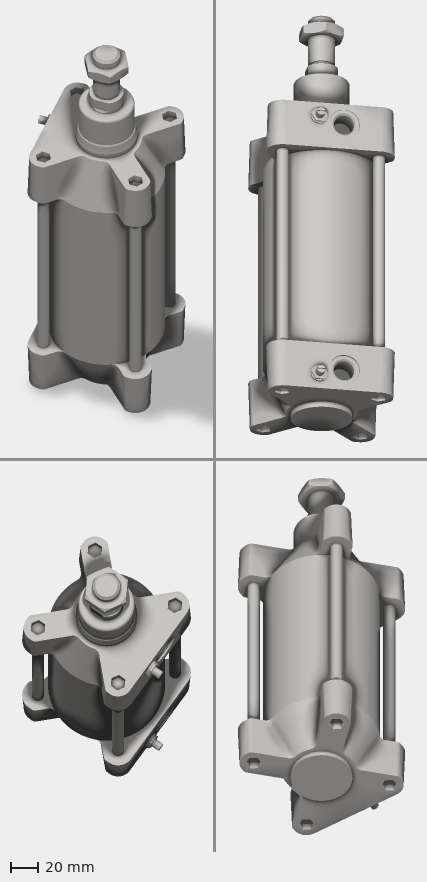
import cadquery as cq
import math

rear_boss_height = 4.0
cap_height = 36.0
tube_length = 155.8
rear_cap_outer = rear_boss_height
rear_cap_inner = rear_cap_outer + cap_height
front_cap_inner = rear_cap_inner + tube_length
front_cap_outer = front_cap_inner + cap_height
sleeve_top = 267.5
rod_shoulder = 278.2
thread_bottom = 281.5
rod_top = 318.0

cap_width = 95.0
cap_half_width = cap_width / 2
cap_draft = 1.8
bolt_offset = 36.0
corner_radius = cap_half_width - bolt_offset
notch_vertex = 16.0
lobe_fillet = 4.0
root_fillet = 5.0
cone_outer_radius = 26.0
tube_diameter = 86.0
socket_flats = 10.2
socket_depth = 6.5

tie_rod_diameter = 9.0

port_y = -8.3
port_inset = 16.0
port_diameter = 15.0
port_chamfer = 1.3
port_depth = 16.0
port_spot_diameter = 23.0
port_spot_depth = 1.5
screw_y = 10.8
screw_inset = 11.0
screw_root_x = -44.2
overall_width_x = 104.0
screw_tip_x = cap_half_width - overall_width_x
screw_diameter = 6.0
screw_hex_x = -50.0
screw_hex_flats = 10.0
screw_flange_x = -48.3
screw_flange_diameter = 12.0
screw_slot_width = 1.0
screw_slot_depth = 1.3

boss_diameter = 45.0
collar_height = 4.0
shoulder_base_diameter = 44.2
shoulder_base_rise = 1.5
shoulder_top_diameter = 42.5
shoulder_top = 242.3
sleeve_diameter = 41.0
sleeve_foot_rise = 1.0
sleeve_fillet = 2.0

rod_diameter = 25.0
rod_flats = 22.3
rod_flats_bottom = 269.7
neck_diameter = 18.0
thread_diameter = 20.0
thread_chamfer = 2.0

nut_bottom = 301.8
nut_height = 8.5
nut_flats = 30.0
nut_chamfer_angle = 30.0


def cylinder(diameter, bottom, top):
    """Upright cylinder on the Z axis between two levels."""
    return cq.Workplane("XY").workplane(offset=bottom).circle(diameter / 2).extrude(top - bottom)


def hexagon_corners(flats):
    """Corner-to-corner size of a hexagon with the given width across flats."""
    return flats / math.cos(math.radians(30))


def bolt_points():
    """Places of the four tie rods."""
    return [(sx * bolt_offset, sy * bolt_offset) for sx in (-1, 1) for sy in (-1, 1)]


def cap_outline():
    """Cap outline at the inner face: flat on -X, V notches on +X, +Y and -Y."""
    w = cap_half_width
    b = bolt_offset
    lobe_edge = w - notch_vertex
    arc_middle = b + corner_radius * math.sqrt(0.5)
    return (
        cq.Workplane("XY")
        .moveTo(-w, -b)
        .threePointArc((-arc_middle, -arc_middle), (-b, -w))
        .lineTo(-lobe_edge, -w)
        .lineTo(0, -notch_vertex)
        .lineTo(lobe_edge, -w)
        .lineTo(b, -w)
        .threePointArc((arc_middle, -arc_middle), (w, -b))
        .lineTo(w, -lobe_edge)
        .lineTo(notch_vertex, 0)
        .lineTo(w, lobe_edge)
        .lineTo(w, b)
        .threePointArc((arc_middle, arc_middle), (b, w))
        .lineTo(lobe_edge, w)
        .lineTo(0, notch_vertex)
        .lineTo(-lobe_edge, w)
        .lineTo(-b, w)
        .threePointArc((-arc_middle, arc_middle), (-w, b))
        .close()
    )


def minus_x_plane(x, y, z):
    """Plane facing -X at the given point."""
    return cq.Workplane(cq.Plane(origin=(x, y, z), xDir=(0, -1, 0), normal=(-1, 0, 0)))


def round_notch_edges(cap, reach, spread, radius):
    """Round the notch edges whose middles lie 'reach' outward and 'spread' sideways on each notch."""
    middle = cap_height / 2
    edges = []
    for s in (-1, 1):
        for x, y in ((s * spread, reach), (s * spread, -reach), (reach, s * spread)):
            edges += cap.edges(cq.NearestToPointSelector((x, y, middle))).vals()
    return cap.newObject(edges).fillet(radius)


def make_cap():
    """End cap with its inner face on Z = 0 and its outer face on Z = cap_height."""
    lobe_edge = cap_half_width - notch_vertex
    cap = cap_outline().extrude(cap_height, taper=cap_draft)
    cap = round_notch_edges(cap, cap_half_width, lobe_edge, lobe_fillet)

    cone = cq.Solid.makeCone(tube_diameter / 2, cone_outer_radius, cap_height)
    cap = cap.union(cq.Workplane(cone))
    mean_radius = (tube_diameter / 2 + cone_outer_radius) / 2
    wall_x = (math.sqrt(2 * mean_radius ** 2 - notch_vertex ** 2) - notch_vertex) / 2
    cap = round_notch_edges(cap, wall_x + notch_vertex, wall_x, root_fillet)

    sockets = (
        cq.Workplane("XY").workplane(offset=cap_height - socket_depth)
        .pushPoints(bolt_points())
        .polygon(6, hexagon_corners(socket_flats))
        .extrude(socket_depth)
    )
    return cap.cut(sockets)


def port_cut(z):
    """Port with a shallow spot face and a chamfered mouth, cut into the -X face."""
    spot_floor = port_spot_depth - cap_half_width
    spot = minus_x_plane(spot_floor, port_y, z).circle(port_spot_diameter / 2).extrude(port_spot_depth)
    hole = minus_x_plane(spot_floor, port_y, z).circle(port_diameter / 2).extrude(-port_depth)
    mouth = cq.Workplane(cq.Solid.makeCone(
        port_diameter / 2 + port_chamfer, port_diameter / 2, port_chamfer,
        pnt=cq.Vector(spot_floor, port_y, z), dir=cq.Vector(1, 0, 0),
    ))
    return spot.union(hole).union(mouth)


def cushion_screw(z):
    """Slotted screw with a hexagon and a round flange standing out of the -X face."""
    flange = (
        minus_x_plane(screw_root_x, screw_y, z)
        .circle(screw_flange_diameter / 2)
        .extrude(screw_root_x - screw_flange_x)
    )
    hexagon = (
        minus_x_plane(screw_flange_x, screw_y, z)
        .polygon(6, hexagon_corners(screw_hex_flats))
        .extrude(screw_flange_x - screw_hex_x)
    )
    stem = (
        minus_x_plane(screw_root_x, screw_y, z)
        .circle(screw_diameter / 2)
        .extrude(screw_root_x - screw_tip_x)
    )
    slot = (
        minus_x_plane(screw_tip_x, screw_y, z)
        .rect(screw_diameter, screw_slot_width)
        .extrude(-screw_slot_depth)
    )
    return flange.union(hexagon).union(stem).cut(slot)


def front_sleeve():
    """Collar, tapered shoulder and guide sleeve on the front cap, turned in one piece."""
    collar_top = front_cap_outer + collar_height
    sleeve_radius = sleeve_diameter / 2
    return (
        cq.Workplane("XZ")
        .moveTo(0, front_cap_outer)
        .lineTo(boss_diameter / 2, front_cap_outer)
        .lineTo(boss_diameter / 2, collar_top)
        .lineTo(shoulder_base_diameter / 2, collar_top + shoulder_base_rise)
        .lineTo(shoulder_top_diameter / 2, shoulder_top)
        .lineTo(sleeve_radius, shoulder_top + sleeve_foot_rise)
        .lineTo(sleeve_radius, sleeve_top)
        .lineTo(0, sleeve_top)
        .close()
        .revolve(360, (0, 0), (0, 1))
        .faces(">Z").edges().fillet(sleeve_fillet)
    )


def make_housing():
    """Both caps, tube, tie rods, ports, screws, rear boss and front sleeve."""
    front_cap = make_cap().translate((0, 0, front_cap_inner))
    rear_cap = make_cap().mirror("XY").translate((0, 0, rear_cap_inner))
    housing = cylinder(tube_diameter, rear_cap_inner, front_cap_inner).union(front_cap).union(rear_cap)

    tie_rods = (
        cq.Workplane("XY").workplane(offset=rear_cap_inner)
        .pushPoints(bolt_points())
        .circle(tie_rod_diameter / 2)
        .extrude(tube_length)
    )
    housing = housing.union(tie_rods)

    for outer_face, inward in ((front_cap_outer, -1), (rear_cap_outer, 1)):
        housing = housing.cut(port_cut(outer_face + inward * port_inset))
        housing = housing.union(cushion_screw(outer_face + inward * screw_inset))

    housing = housing.union(cylinder(boss_diameter, 0, rear_cap_outer)).union(front_sleeve())
    return housing.cut(cylinder(rod_diameter, front_cap_inner, sleeve_top))


def flat_cut(side):
    """Material cut away for the wrench flat on the +Y (side 1) or -Y (side -1) of the rod shoulder."""
    flat_y = rod_flats / 2
    rim_y = rod_diameter / 2
    return (
        cq.Workplane("YZ")
        .moveTo(side * flat_y, rod_flats_bottom)
        .lineTo(side * flat_y, rod_shoulder)
        .lineTo(side * rim_y, rod_shoulder)
        .lineTo(side * rim_y, rod_flats_bottom - (rim_y - flat_y))
        .close()
        .extrude(rod_diameter / 2, both=True)
    )


def make_piston_rod():
    """Stepped rod with wrench flats on its shoulder and a threaded end."""
    shoulder = cylinder(rod_diameter, front_cap_inner, rod_shoulder)
    for side in (-1, 1):
        shoulder = shoulder.cut(flat_cut(side))
    neck = cylinder(neck_diameter, rod_shoulder, thread_bottom)
    thread = cylinder(thread_diameter, thread_bottom, rod_top).faces(">Z").chamfer(thread_chamfer)
    return shoulder.union(neck).union(thread)


def make_nut():
    """Hexagonal nut on the rod end, its corners chamfered above and below."""
    corners = hexagon_corners(nut_flats)
    nut = cq.Workplane("XY").polygon(6, corners).extrude(nut_height)

    flat_radius = nut_flats / 2
    corner_radius_limit = corners / 2
    drop = (corner_radius_limit - flat_radius) * math.tan(math.radians(nut_chamfer_angle))
    envelope = (
        cq.Workplane("XZ")
        .moveTo(0, 0)
        .lineTo(flat_radius, 0)
        .lineTo(corner_radius_limit, drop)
        .lineTo(corner_radius_limit, nut_height - drop)
        .lineTo(flat_radius, nut_height)
        .lineTo(0, nut_height)
        .close()
        .revolve(360, (0, 0), (0, 1))
    )
    nut = nut.intersect(envelope).translate((0, 0, nut_bottom))
    return nut.cut(cylinder(thread_diameter, nut_bottom, nut_bottom + nut_height))


housing = make_housing()
piston_rod = make_piston_rod()
nut = make_nut()

result = cq.Compound.makeCompound([housing.val(), piston_rod.val(), nut.val()])